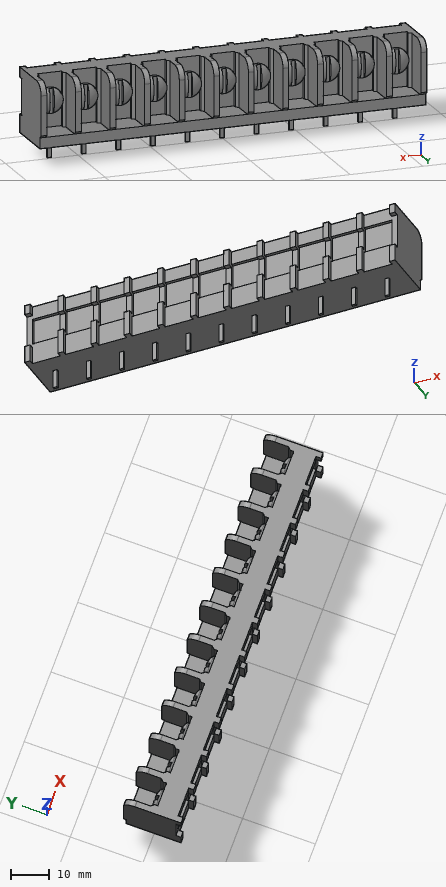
import cadquery as cq

length = 106.3
depth = 15.8
height = 17.8

bay_count = 11
partition_thickness = 1.6
pitch = (length - partition_thickness) / bay_count
bay_width = pitch - partition_thickness
bay_centres = [(i - (bay_count - 1) / 2) * pitch for i in range(bay_count)]
partition_centres = [(i - bay_count / 2) * pitch for i in range(bay_count + 1)]

rib_depth = 1.4
back_step = 0.7
step_height = 3.0
corner_radius = 3.2

front_mid_height = 10.0
panel_height = 7.7
panel_recess = 0.9
inner_rib_gap = 5.7
end_rib_gap = 10.0

bay_floor = step_height
seat_y = 7.2
seat_width = 6.5
bay_wall_y = 8.9

screw_diameter = 6.9
screw_rim_height = 0.9
screw_dome_height = 1.3
screw_slot_width = 1.2
screw_slot_depth = 1.1
screw_height = (bay_floor + height) / 2

pin_width = 1.2
pin_thickness = 0.6
pin_length = 5.3
pin_y = 6.9


def box(width, y_start, y_end, z_start, z_end):
    """Box centred on X between the given Y and Z limits."""
    block = cq.Workplane("XY").box(width, y_end - y_start, z_end - z_start, centered=(True, False, False))
    return block.translate((0, y_start, z_start))


def make_partition(rib_gap):
    """Wall between bays, with a rib on the front that is interrupted at mid height."""
    wall = (
        cq.Workplane("YZ")
        .moveTo(0, 0)
        .lineTo(depth - back_step, 0)
        .lineTo(depth - back_step, step_height)
        .lineTo(depth, step_height + back_step)
        .lineTo(depth, height - corner_radius)
        .radiusArc((depth - corner_radius, height), -corner_radius)
        .lineTo(0, height)
        .close()
        .extrude(partition_thickness / 2, both=True)
    )
    gap_bottom = front_mid_height - rib_gap / 2
    return wall.cut(box(2 * partition_thickness, 0, rib_depth, gap_bottom, gap_bottom + rib_gap))


def make_bay_opening():
    """Space above the bay floor, narrowing through bevels to the screw seat."""
    bevel = (bay_width - seat_width) / 2
    return (
        cq.Workplane("XY", origin=(0, 0, bay_floor))
        .moveTo(-seat_width / 2, seat_y)
        .lineTo(seat_width / 2, seat_y)
        .lineTo(seat_width / 2, bay_wall_y - bevel)
        .lineTo(bay_width / 2, bay_wall_y)
        .lineTo(bay_width / 2, depth)
        .lineTo(-bay_width / 2, depth)
        .lineTo(-bay_width / 2, bay_wall_y)
        .lineTo(-seat_width / 2, bay_wall_y - bevel)
        .close()
        .extrude(height - bay_floor)
    )


def make_front_panel():
    """Shallow recess in the middle of the front face of a bay."""
    panel_bottom = front_mid_height - panel_height / 2
    return box(bay_width, rib_depth, rib_depth + panel_recess, panel_bottom, panel_bottom + panel_height)


def make_screw():
    """Slotted screw head with a half-elliptical dome, facing the back of the block."""
    radius = screw_diameter / 2
    rim_y = seat_y + screw_rim_height
    top_y = rim_y + screw_dome_height
    head = (
        cq.Workplane("XY")
        .moveTo(0, seat_y)
        .lineTo(radius, seat_y)
        .lineTo(radius, rim_y)
        .ellipseArc(radius, screw_dome_height, 0, 90)
        .close()
        .revolve(360, (0, 0, 0), (0, 1, 0))
    )
    slot = box(screw_slot_width, top_y - screw_slot_depth, top_y, -radius, radius)
    return head.cut(slot).translate((0, 0, screw_height))


def make_pin():
    """Flat solder pin below the body."""
    return box(pin_width, pin_y - pin_thickness / 2, pin_y + pin_thickness / 2, -pin_length, 0)


def repeat(shape, centres):
    """Copies of a shape at the given X positions, as one workplane."""
    copies = [shape.val().translate(cq.Vector(x, 0, 0)) for x in centres]
    return cq.Workplane(obj=cq.Compound.makeCompound(copies))


front_wall = box(length, rib_depth, bay_wall_y, 0, height)
floor_block = box(length, rib_depth, depth - back_step, 0, bay_floor)
core = front_wall.union(floor_block)
core = core.cut(repeat(make_bay_opening(), bay_centres))
core = core.cut(repeat(make_front_panel(), bay_centres))

end_centres = [partition_centres[0], partition_centres[-1]]
inner_partitions = repeat(make_partition(inner_rib_gap), partition_centres[1:-1])
end_partitions = repeat(make_partition(end_rib_gap), end_centres)
result = core.union(inner_partitions).union(end_partitions)
result = result.union(repeat(make_screw(), bay_centres)).union(repeat(make_pin(), bay_centres))